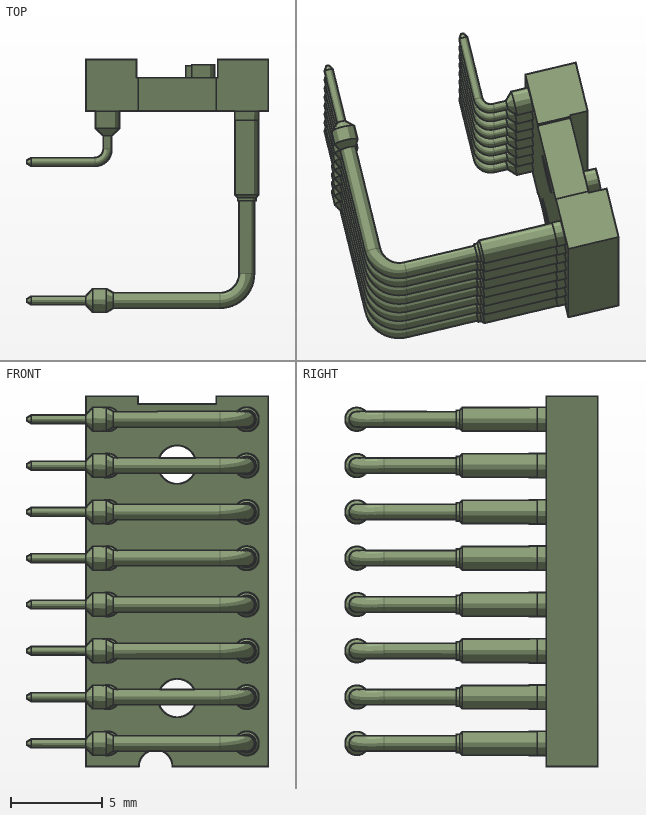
import cadquery as cq


housing_width = 10.0
housing_length = 20.3
housing_thickness = 2.85
rail_width = 2.86
web_thickness = 0.91
end_bar_thickness = 1.85
end_bar_inner_z = 8.32
bar_top_drop = 0.43
top_gap_width = housing_width - 2 * rail_width
rail_back_step = 0.08
channel_width = top_gap_width + 2 * rail_back_step

web_hole_diameter = 2.1
web_hole_offset = 6.4
key_notch_x = -1.18
key_notch_radius = 0.91

post_radius = 0.63
post_z = 9.0
upper_post_x = 1.42
upper_post_top = 2.55
lower_post_x = 1.1
lower_post_top = 2.5

pin_count = 8
pin_pitch = 2.54
row_x = 3.82
tip_overhang = 3.25
tip_x = -housing_width / 2 - tip_overhang

lead_radius = 0.25
tip_radius = 0.08
tip_length = 0.26

collar_radius = 0.67
short_collar_length = 0.93
short_cone_end = 1.34
short_arm_depth = 2.78
short_bend_radius = 0.71

long_collar_length = 0.49
sleeve_radius = 0.65
sleeve_length = 4.59
sleeve_chamfer = 0.15
sleeve_nose_length = 0.18
rod_radius = 0.43
long_arm_depth = 10.37
long_bend_radius = 1.48

bead_radius = 0.65
bead_shoulder_length = 0.39
bead_start_x = -3.5
bead_length = 1.14
bead_cone_length = 0.39


def turned(profile):
    """Solid turned about the local Y axis from (radius, distance) points."""
    start = profile[0][1]
    end = profile[-1][1]
    points = [(0, start)] + profile + [(0, end)]
    return cq.Workplane("XY").polyline(points).close().revolve(360, (0, 0), (0, 1))


def down_from_housing(profile, x):
    """Turned solid whose distances run from the housing face toward -Y."""
    return turned(profile).rotate((0, 0, 0), (0, 0, 1), 180).translate((x, 0, 0))


def toward_tips(profile, depth):
    """Turned solid along X whose distances are negated X positions."""
    return turned(profile).rotate((0, 0, 0), (0, 0, 1), 90).translate((0, -depth, 0))


def elbow(x, depth, bend_radius, radius):
    """Quarter bend joining a rod along Y at x to an arm along X at the given depth."""
    return (
        cq.Workplane("XZ", origin=(x, -depth + bend_radius, 0))
        .circle(radius)
        .revolve(90, (-bend_radius, 0), (-bend_radius, -1))
    )


def channel_cut(floor_y, length):
    """Block that clears the space between the rails behind the given floor."""
    block = cq.Workplane("XY").box(channel_width, housing_thickness, length)
    return block.translate((0, floor_y + housing_thickness / 2, 0))


def make_post(x, z, top_y):
    """Round post rising from the web to the given distance behind the pin-side face."""
    post = cq.Workplane("XZ", origin=(x, web_thickness, z)).circle(post_radius)
    return post.extrude(web_thickness - top_y)


def make_housing():
    housing = cq.Workplane("XY").box(housing_width, housing_thickness, housing_length)
    housing = housing.translate((0, housing_thickness / 2, 0))
    pocket = channel_cut(web_thickness, 2 * end_bar_inner_z)
    end_recess = channel_cut(end_bar_thickness, housing_length)
    top_drop = (
        cq.Workplane("XY")
        .box(top_gap_width, 3 * housing_thickness, 2 * bar_top_drop)
        .translate((0, 0, housing_length / 2))
    )
    holes = (
        cq.Workplane("XZ")
        .pushPoints([(0, -web_hole_offset), (0, web_hole_offset)])
        .circle(web_hole_diameter / 2)
        .extrude(-housing_thickness)
    )
    notch = (
        cq.Workplane("XZ")
        .center(key_notch_x, -housing_length / 2)
        .circle(key_notch_radius)
        .extrude(-housing_thickness)
    )
    upper_post = make_post(upper_post_x, post_z, upper_post_top)
    lower_post = make_post(lower_post_x, -post_z, lower_post_top)
    housing = housing.cut(pocket).cut(end_recess).cut(top_drop).cut(holes).cut(notch)
    return housing.union(upper_post).union(lower_post)


def make_short_pin():
    bend_start = short_arm_depth - short_bend_radius
    stem = down_from_housing(
        [
            (collar_radius, 0),
            (collar_radius, short_collar_length),
            (lead_radius, short_cone_end),
            (lead_radius, bend_start),
        ],
        -row_x,
    )
    lead = toward_tips(
        [
            (lead_radius, row_x + short_bend_radius),
            (lead_radius, -tip_x - tip_length),
            (tip_radius, -tip_x),
        ],
        short_arm_depth,
    )
    bend = elbow(-row_x, short_arm_depth, short_bend_radius, lead_radius)
    return stem.union(bend).union(lead)


def make_long_pin():
    nose_start = sleeve_length + sleeve_chamfer
    nose_end = nose_start + sleeve_nose_length
    stem = down_from_housing(
        [
            (collar_radius, 0),
            (collar_radius, long_collar_length),
            (sleeve_radius, long_collar_length),
            (sleeve_radius, sleeve_length),
            (sleeve_radius - sleeve_chamfer, nose_start),
            (sleeve_radius - sleeve_chamfer, nose_end),
            (rod_radius, nose_end),
            (rod_radius, long_arm_depth - long_bend_radius),
        ],
        row_x,
    )
    bead_start = -bead_start_x
    bead_end = bead_start + bead_length
    arm = toward_tips(
        [
            (rod_radius, long_bend_radius - row_x),
            (rod_radius, bead_start),
            (bead_radius, bead_start + bead_shoulder_length),
            (bead_radius, bead_end),
            (lead_radius, bead_end + bead_cone_length),
            (lead_radius, -tip_x - tip_length),
            (tip_radius, -tip_x),
        ],
        long_arm_depth,
    )
    bend = elbow(row_x, long_arm_depth, long_bend_radius, rod_radius)
    return stem.union(bend).union(arm)


result = make_housing()
short_pin = make_short_pin()
long_pin = make_long_pin()
for index in range(pin_count):
    z = (index - (pin_count - 1) / 2) * pin_pitch
    for pin in (short_pin, long_pin):
        result = result.union(pin.translate((0, 0, z)))